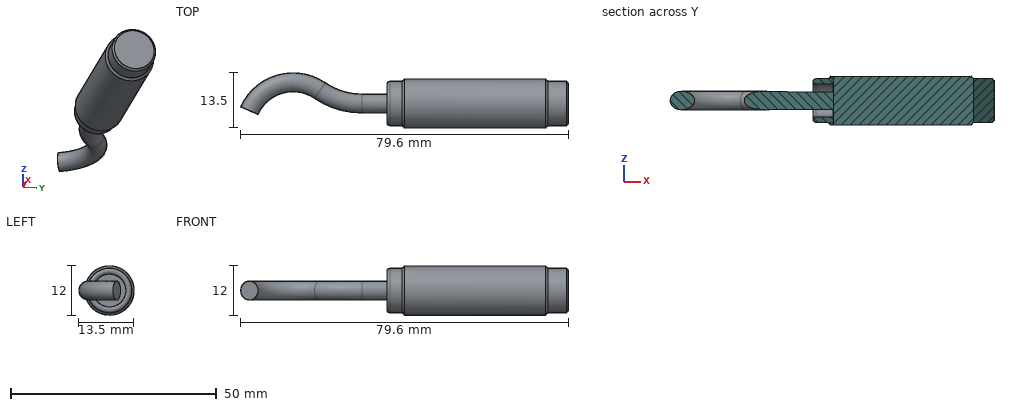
import cadquery as cq
import math

total_length = 79.6

sleeve_radius = 6.01
sleeve_start = 39.25
sleeve_end = 74.6
sleeve_chamfer = 0.55
recess_depth = 1.2
recess_floor = sleeve_start + recess_depth

end_radius = 5.4
collar_start = 35.5
collar_bore_radius = 4.0
cap_chamfer = 0.5

cable_radius = 2.3
cable_bend_start = 29.45
first_bend_radius = 18.15
first_bend_angle = math.radians(34.2)
second_bend_radius = 11.6
hook_angle = math.radians(66)


def cylinder(start, end, radius):
    """Cylinder around the X axis between two X positions."""
    return cq.Workplane("YZ").workplane(offset=start).circle(radius).extrude(end - start)


def make_sleeve():
    """Barrel chamfered at both ends, with a recess that seats the inner end of the collar."""
    barrel = cylinder(sleeve_start, sleeve_end, sleeve_radius).faces("<X or >X").chamfer(sleeve_chamfer)
    return barrel.cut(cylinder(sleeve_start, recess_floor, end_radius))


def make_collar():
    """Open ring seated in the sleeve at the cable end, with a full-round lip at its mouth."""
    lip_radius = (end_radius - collar_bore_radius) / 2
    lip_end = collar_start + lip_radius
    wall_middle = collar_bore_radius + lip_radius
    return (
        cq.Workplane("XY")
        .moveTo(recess_floor, collar_bore_radius)
        .lineTo(lip_end, collar_bore_radius)
        .threePointArc((collar_start, wall_middle), (lip_end, end_radius))
        .lineTo(recess_floor, end_radius)
        .close()
        .revolve(360, (0, 0), (1, 0))
    )


def make_cap():
    """Plain end cap with a chamfered outer rim."""
    return cylinder(sleeve_end, total_length, end_radius).faces(">X").chamfer(cap_chamfer)


def make_cable():
    """Round cable that runs from the recess floor through the collar and ends in a hook."""

    def on_first_bend(angle):
        return (
            cable_bend_start - first_bend_radius * math.sin(angle),
            first_bend_radius * (1 - math.cos(angle)),
        )

    radius_sum = first_bend_radius + second_bend_radius
    hook_center_x = cable_bend_start - radius_sum * math.sin(first_bend_angle)
    hook_center_y = first_bend_radius - radius_sum * math.cos(first_bend_angle)

    def on_hook(angle):
        return (
            hook_center_x - second_bend_radius * math.sin(angle),
            hook_center_y + second_bend_radius * math.cos(angle),
        )

    path = (
        cq.Workplane("XY")
        .moveTo(recess_floor, 0)
        .lineTo(cable_bend_start, 0)
        .threePointArc(on_first_bend(first_bend_angle / 2), on_first_bend(first_bend_angle))
        .threePointArc(on_hook(0), on_hook(hook_angle))
    )
    return cq.Workplane("YZ", origin=(recess_floor, 0, 0)).circle(cable_radius).sweep(path)


sleeve = make_sleeve()
collar = make_collar()
cap = make_cap()
cable = make_cable()

result = cq.Compound.makeCompound([sleeve.val(), collar.val(), cap.val(), cable.val()])